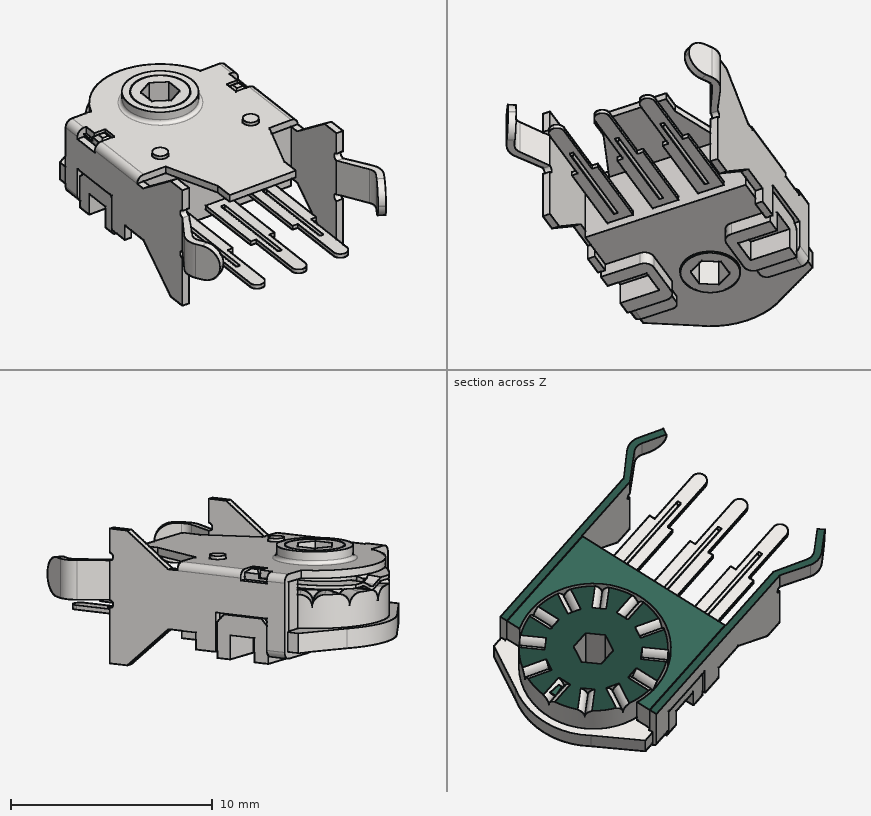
import cadquery as cq
import math


sheet = 0.4
bracket_width = 9.66
wall_out = bracket_width / 2
wall_in = wall_out - sheet
roof_bottom = 3.49
roof_top = roof_bottom + sheet
front_x = -1.26
back_x = 5.01
tail_x = 8.98
end_x = 12.52
floor_top = 1.0
hole_d = 3.0
journal_d = 2.95
almost_full = 0.99

nose_r = 4.08
nose_arc_y = 2.34
base_half_width = 4.68
nose_corner_x = -1.98
nose_back_x = -1.36
cavity_r = 3.83
post_d = 0.8
post_hole_d = 0.85
post_x = 3.97
post_y = 2.72
post_top = 4.05

pad_start = -0.22
pad_end = 2.77
pad_bottom = -0.73
pad_top = 1.51
pad_chamfer = 0.4
window_top = 1.6
foot_inner_y = 2.01
foot_corner_r = 0.51
foot_slot_start = 0.6
foot_slot_end = 2.01
foot_slot_top = 0.5
foot_slot_inner_y = foot_inner_y + foot_corner_r

peg_start = 0.5
peg_end = 1.31
peg_inner_y = 3.65
peg_shoulder = 3.7
peg_taper = 0.22
bend_window_y = 4.3
bend_window_z = 3.35

roof_disc_r = 3.52
collar_d = 3.8
collar_top = 4.52
collar_fillet = 0.2
wing_root_x = 5.55
wing_corner_x = 7.95
wing_top = 5.2
wing_bottom = -1.61
wall_bottom = 0.46
lug_end = 3.93
flange_inner_y = 2.3
flange_corner_r = 0.4
tail_root_half = 3.12
tail_half = 2.0
relief_r = 0.2

arms_width = 11.6
arm_bottom = 1.6
arm_top = 3.59
arm_slope = 30.0
crest_x = 10.85
crest_r = 0.98
arm_end_r = 0.98

rotor_r = 3.7
rotor_top = 2.69
hub_d = 4.15
journal_bottom = -0.08
hex_flats = 1.7
notch_count = 12
notch_r = 0.61
notch_inner_r = 2.4

spring_r = 3.7
spring_inner_r = 2.74
spring_front_x = -3.37
spring_t = 0.18
spring_drop = 0.4
dip_depth = 0.33
dip_half_width = 0.8
dip_side_drop = 0.27
dip_round = 0.2

terminal_pitch = 2.5
terminal_bottom = 0.46
terminal_t = 0.23
terminal_width = 0.8
terminal_start = 4.32
root_width = 1.43
groove_width = 0.2
groove_depth = 0.12
groove_start = 5.48
groove_end = 10.49


def box(x0, x1, y0, y1, z0, z1):
    """Box between the given limits."""
    return cq.Workplane("XY").box(x1 - x0, y1 - y0, z1 - z0, centered=False).translate((x0, y0, z0))


def disc(diameter, z0, z1):
    """Round bar on the rotor axis."""
    return cq.Workplane("XY").workplane(offset=z0).circle(diameter / 2).extrude(z1 - z0)


def both_sides(shape):
    """The shape at -Y together with its mirror copy at +Y."""
    return shape.union(shape.mirror("XZ"))


def side_plate(points, y0, y1):
    """Plate with an outline given as (x, z) points, between y0 and y1."""
    plate = cq.Workplane("XZ").polyline(points).close().extrude(y1 - y0)
    return plate.translate((0, y1, 0))


def terminal_blank(y):
    """Flat strip with a round tip and a wider root."""
    top = terminal_bottom + terminal_t
    strip = box(terminal_start, end_x, y - terminal_width / 2, y + terminal_width / 2, terminal_bottom, top)
    strip = strip.edges("|Z and >X").fillet(terminal_width / 2 * almost_full)
    root = box(terminal_start, tail_x, y - root_width / 2, y + root_width / 2, terminal_bottom, top)
    return strip.union(root)


def groove_form(y, top):
    """Round-bottomed bar with sloping ends that hangs one groove depth below the given height."""
    side_a = y - groove_width / 2
    side_b = y + groove_width / 2
    bar = box(groove_start, groove_end, side_a, side_b, top - groove_depth, top)
    bar = bar.edges("|X and <Z").fillet(groove_width / 2 * almost_full)
    sloping_ends = [
        (groove_start, top),
        (groove_end, top),
        (groove_end - groove_depth, top - groove_depth),
        (groove_start + groove_depth, top - groove_depth),
    ]
    return bar.intersect(side_plate(sloping_ends, side_a, side_b))


def make_terminal(y):
    """Terminal strip with a pressed groove that stands out below as a rib."""
    rib = groove_form(y, terminal_bottom)
    groove = groove_form(y, terminal_bottom + terminal_t)
    return terminal_blank(y).union(rib).cut(groove)


terminal_places = [-terminal_pitch, 0, terminal_pitch]


def base_foot():
    """Foot pad at -Y: a plate in the wall window, and a foot under the floor."""
    plate = box(pad_start, pad_end, -base_half_width, -wall_in, pad_bottom, pad_top)
    plate = plate.edges("|Y and >Z").chamfer(pad_chamfer)
    foot = box(pad_start, pad_end, -base_half_width, -foot_inner_y, pad_bottom, 0)
    foot = foot.edges("|Z and >Y").fillet(foot_corner_r)
    return plate.union(foot)


def base_foot_slot():
    """Notch at -Y, open at the outside and below, that leaves the inner end of the foot closed."""
    return box(foot_slot_start, foot_slot_end, -base_half_width, -foot_slot_inner_y, pad_bottom, foot_slot_top)


def base_peg():
    """Square peg at -Y with a tapered top that locates the roof."""
    length = peg_end - peg_start
    width = wall_in - peg_inner_y
    center = ((peg_start + peg_end) / 2, -(peg_inner_y + wall_in) / 2)
    shank = cq.Workplane("XY").workplane(offset=roof_bottom).center(*center)
    shank = shank.rect(length, width).extrude(peg_shoulder - roof_bottom)
    top = (
        cq.Workplane("XY").workplane(offset=peg_shoulder).center(*center).rect(length, width)
        .workplane(offset=roof_top - peg_shoulder)
        .rect(length - 2 * peg_taper, width - 2 * peg_taper).loft()
    )
    return shank.union(top)


def make_base():
    nose_arc_x = -math.sqrt(nose_r**2 - nose_arc_y**2)
    nose = (
        cq.Workplane("XY")
        .moveTo(front_x, -wall_in)
        .lineTo(nose_back_x, -wall_in)
        .lineTo(nose_back_x, -base_half_width)
        .lineTo(nose_corner_x, -base_half_width)
        .lineTo(nose_arc_x, -nose_arc_y)
        .threePointArc((-nose_r, 0), (nose_arc_x, nose_arc_y))
        .lineTo(nose_corner_x, base_half_width)
        .lineTo(nose_back_x, base_half_width)
        .lineTo(nose_back_x, wall_in)
        .lineTo(front_x, wall_in)
        .close()
        .extrude(floor_top)
    )
    block = box(front_x, back_x, -wall_in, wall_in, 0, roof_bottom)
    block = block.cut(disc(2 * cavity_r, floor_top, roof_bottom))
    posts = (
        cq.Workplane("XY").workplane(offset=roof_bottom)
        .pushPoints([(post_x, -post_y), (post_x, post_y)])
        .circle(post_d / 2).extrude(post_top - roof_bottom)
    )
    base = nose.union(block).union(posts)
    base = base.union(both_sides(base_peg())).union(both_sides(base_foot()))
    base = base.cut(both_sides(base_foot_slot())).cut(disc(hole_d, 0, floor_top))
    for y in terminal_places:
        base = base.cut(terminal_blank(y))
    return base


def bracket_roof():
    """Roof plate with a round front, a tapering tail and a bearing collar."""
    plate = box(front_x, back_x, -wall_out, wall_out, roof_bottom, roof_top)
    plate = plate.edges("|X and >Z").fillet(sheet * almost_full)
    tail = (
        cq.Workplane("XY").workplane(offset=roof_bottom)
        .polyline([
            (back_x, -tail_root_half),
            (wing_corner_x, -tail_half),
            (tail_x, -tail_half),
            (tail_x, tail_half),
            (wing_corner_x, tail_half),
            (back_x, tail_root_half),
        ])
        .close().extrude(sheet)
    )
    collar = disc(collar_d, roof_top, collar_top)
    roof = plate.union(tail).union(disc(2 * roof_disc_r, roof_bottom, roof_top)).union(collar)
    collar_root = cq.selectors.RadiusNthSelector(0)
    roof = roof.edges(cq.selectors.BoxSelector(
        (-collar_d, -collar_d, roof_top - 0.02), (collar_d, collar_d, roof_top + 0.02), boundingbox=False
    )).edges("%CIRCLE").edges(collar_root).fillet(collar_fillet)
    post_holes = (
        cq.Workplane("XY").workplane(offset=roof_bottom)
        .pushPoints([(post_x, -post_y), (post_x, post_y)])
        .circle(post_hole_d / 2).extrude(sheet)
    )
    return roof.cut(disc(hole_d, roof_bottom, collar_top)).cut(post_holes)


def bracket_wall():
    """Side wall at -Y with its wing, foot window, lug and edge reliefs."""
    outline = [
        (front_x, 0),
        (front_x, roof_bottom),
        (wing_root_x, roof_bottom),
        (wing_corner_x, wing_top),
        (tail_x, wing_top),
        (tail_x, wing_bottom),
        (wing_corner_x, wing_bottom),
        (wing_root_x, wall_bottom),
        (lug_end, wall_bottom),
        (lug_end, -sheet),
        (pad_end, -sheet),
        (pad_end, window_top),
        (pad_start, window_top),
        (pad_start, 0),
    ]
    wall = side_plate(outline, -wall_out, -wall_in)
    reliefs = (
        cq.Workplane("XZ")
        .pushPoints([(tail_x, arm_top + relief_r), (tail_x, arm_bottom - relief_r)])
        .circle(relief_r).extrude(wall_out)
    )
    return wall.cut(reliefs)


def bracket_flange():
    """Flange at -Y that folds under the base in front of the foot."""
    flange = box(front_x, pad_start, -wall_out, -flange_inner_y, -sheet, 0)
    flange = flange.edges("|X and <Y and <Z").fillet(sheet * almost_full)
    return flange.edges("|Z and >Y and <X").fillet(flange_corner_r)


def bracket_arm():
    """Snap arm at -Y: out at an angle, over a round crest and back in, with a round end."""
    slope = math.radians(arm_slope)
    crest_y = -(arms_width / 2 - crest_r)
    inner_r = crest_r - sheet

    def crest_point(radius, angle):
        return crest_x + radius * math.sin(angle), crest_y - radius * math.cos(angle)

    out_start = crest_point(crest_r, -slope)
    out_end = crest_point(crest_r, slope)
    in_start = crest_point(inner_r, -slope)
    in_end = crest_point(inner_r, slope)
    run = (end_x - out_end[0]) / math.cos(slope)
    tip_shift = (run * math.cos(slope), run * math.sin(slope))
    arm = (
        cq.Workplane("XY").workplane(offset=arm_bottom)
        .moveTo(tail_x, -wall_out)
        .lineTo(*out_start)
        .threePointArc(crest_point(crest_r, 0), out_end)
        .lineTo(out_end[0] + tip_shift[0], out_end[1] + tip_shift[1])
        .lineTo(in_end[0] + tip_shift[0], in_end[1] + tip_shift[1])
        .lineTo(*in_end)
        .threePointArc(crest_point(inner_r, 0), in_start)
        .lineTo(tail_x, -wall_in)
        .close()
        .extrude(arm_top - arm_bottom)
    )
    tip_direction = cq.Vector(math.cos(slope), math.sin(slope), 0)
    across_tip = cq.Vector(-math.sin(slope), math.cos(slope), 0)
    tip_edges = arm.faces(cq.selectors.DirectionMinMaxSelector(tip_direction)).edges(
        cq.selectors.ParallelDirSelector(across_tip))
    return tip_edges.fillet(arm_end_r)


def bend_window():
    """Opening at -Y through the roof bend, with a square corner for the peg."""
    slot = box(pad_start, peg_end, -wall_out, -bend_window_y, bend_window_z, roof_top)
    return slot.union(box(peg_start, peg_end, -wall_out, -peg_inner_y, bend_window_z, roof_top))


def make_bracket():
    side = bracket_wall().union(bracket_flange()).union(bracket_arm())
    return bracket_roof().union(both_sides(side)).cut(both_sides(bend_window()))


def rotor_notch():
    """Detent notch at -X whose two sides are quarter rounds that meet in a sharp valley."""
    across = notch_r * (1 - math.cos(math.pi / 4))
    return (
        cq.Workplane("YZ", origin=(-rotor_r, 0, rotor_top))
        .moveTo(-notch_r, 0)
        .threePointArc((-across, -across), (0, -notch_r))
        .threePointArc((across, -across), (notch_r, 0))
        .close()
        .extrude(rotor_r - notch_inner_r)
    )


def make_rotor():
    rotor = (
        disc(2 * rotor_r, floor_top, rotor_top)
        .union(disc(hub_d, rotor_top, roof_bottom))
        .union(disc(journal_d, journal_bottom, collar_top))
    )
    hex_corners = hex_flats / math.cos(math.pi / 6)
    socket = cq.Workplane("XY").workplane(offset=journal_bottom).polygon(6, hex_corners)
    rotor = rotor.cut(socket.extrude(collar_top - journal_bottom))
    notch = rotor_notch()
    for i in range(notch_count):
        rotor = rotor.cut(notch.rotate((0, 0, 0), (0, 0, 1), 360 / notch_count * i))
    return rotor


def make_spring():
    """Sloping ring with a straight front edge, highest at the back, with a round-tipped dip in front."""
    front_top = roof_bottom - spring_drop
    front_low = front_top - spring_t
    slope = spring_drop / (spring_r - spring_front_x)
    outline = (
        cq.Workplane("YZ", origin=(spring_front_x, 0, 0))
        .moveTo(-spring_r, front_top)
        .lineTo(-dip_half_width, front_top)
        .lineTo(-dip_round, front_top - dip_side_drop)
        .threePointArc((0, front_top - dip_depth), (dip_round, front_top - dip_side_drop))
        .lineTo(dip_half_width, front_top)
        .lineTo(spring_r, front_top)
        .lineTo(spring_r, front_low)
        .lineTo(dip_half_width, front_low)
        .lineTo(dip_round, front_low - dip_side_drop)
        .threePointArc((0, front_low - dip_depth), (-dip_round, front_low - dip_side_drop))
        .lineTo(-dip_half_width, front_low)
        .lineTo(-spring_r, front_low)
        .close()
    )
    front = cq.Workplane(cq.Solid.extrudeLinear(
        outline.val(), [], cq.Vector(-spring_front_x, 0, -spring_front_x * slope)))
    middle_top = front_top - spring_front_x * slope
    back = side_plate(
        [(0, middle_top), (spring_r, roof_bottom), (spring_r, roof_bottom - spring_t), (0, middle_top - spring_t)],
        -spring_r, spring_r)
    ring = disc(2 * spring_r, 0, roof_bottom).cut(disc(2 * spring_inner_r, 0, roof_bottom))
    return front.union(back).intersect(ring)


base = make_base()
bracket = make_bracket()
rotor = make_rotor()
spring = make_spring()
terminals = [make_terminal(y) for y in terminal_places]

result = cq.Compound.makeCompound([
    base.solids().val(),
    bracket.solids().val(),
    rotor.solids().val(),
    spring.solids().val(),
    *[terminal.solids().val() for terminal in terminals],
])